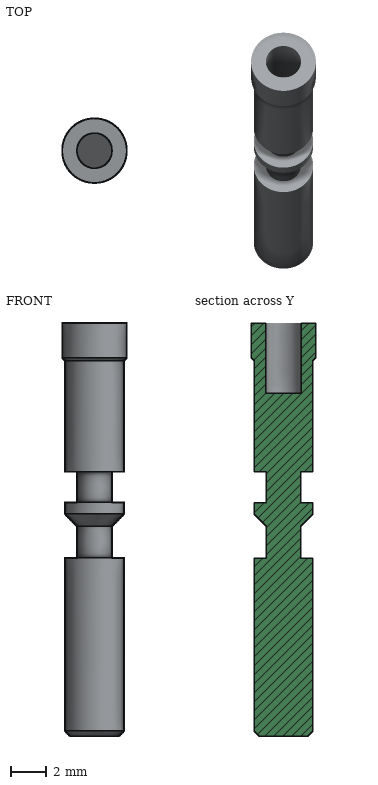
import cadquery as cq

total_length = 23.6
head_diameter = 3.7
body_diameter = 3.4
neck_diameter = 2.0
bore_diameter = 2.0
bore_depth = 4.01

lower_body_top = 10.2
collar_cone_bottom = 12.0
collar_rim_bottom = 12.7
collar_top = 13.35
upper_body_bottom = 15.1
head_length = 2.15
head_chamfer = (head_diameter - body_diameter) / 2
tip_chamfer = 0.3

head_bottom = total_length - head_length


def cylinder(diameter, bottom, top):
    """Solid cylinder on the Z axis between two heights."""
    return cq.Workplane("XY").workplane(offset=bottom).circle(diameter / 2).extrude(top - bottom)


def make_collar():
    """Flat-topped collar that tapers down to the neck."""
    outline = [
        (0, collar_cone_bottom),
        (neck_diameter / 2, collar_cone_bottom),
        (body_diameter / 2, collar_rim_bottom),
        (body_diameter / 2, collar_top),
        (0, collar_top),
    ]
    return cq.Workplane("XZ").polyline(outline).close().revolve(360, (0, 0), (0, 1))


lower_body = cylinder(body_diameter, 0, lower_body_top).faces("<Z").chamfer(tip_chamfer)
neck = cylinder(neck_diameter, lower_body_top, upper_body_bottom)
upper_body = cylinder(body_diameter, upper_body_bottom, head_bottom)
head = cylinder(head_diameter, head_bottom, total_length).faces("<Z").chamfer(head_chamfer)
bore = cylinder(bore_diameter, total_length - bore_depth, total_length)

result = lower_body.union(neck).union(make_collar()).union(upper_body).union(head).cut(bore)